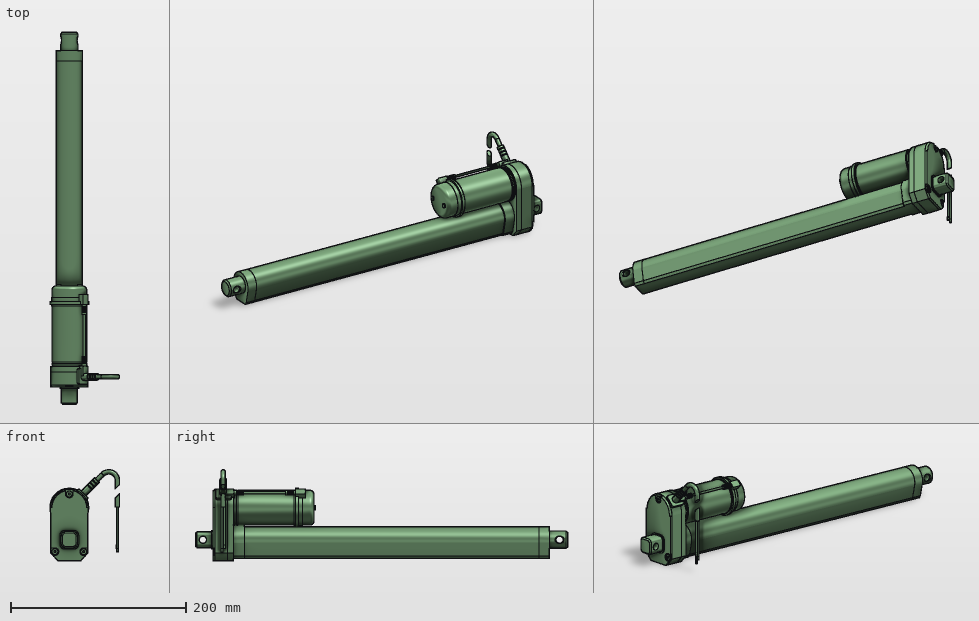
import cadquery as cq
import math


rear_tip = -19.6
overall_length = 425.0
front_tip = rear_tip + overall_length
cover_depth = 2.6
gearbox_split = 17.0
gearbox_front = 23.5
sleeve_front = 36.0
collar_rear = 372.7
collar_front = 384.4

tube_radius = 15.0
sleeve_growth = 1.7
collar_growth = 0.1
tube_taper = 13.0
flank_bottom = -18.7
tube_bottom = -21.7
foot_chamfer = 2.0
rod_diameter = 20.0
rod_chamfer = 1.8
rod_hole_diameter = 8.0
rod_hole_inset = 9.4
rod_countersink_depth = 1.2

motor_axis_z = 36.6
gearbox_half_width = 21.3
gearbox_bottom = -24.1
corner_cut_x = 8.2
corner_cut_z = 9.0
seam_step = 0.06
crown_chamfer = 1.5
screw_pocket_diameter = 8.8
screw_pocket_depth = 2.0
screw_head_diameter = 6.8
screw_head_height = 1.5
screw_socket_diameter = 2.2
top_screw_z = 52.3
lower_screw_x = 16.4
lower_screw_z = -13.6

clevis_across = 18.5
clevis_corner_radius = 4.9
clevis_base_across = 21.6
clevis_base_corner_radius = 5.9
clevis_base_length = 1.3
clevis_chamfer = 1.6
clevis_hole_diameter = 8.0
clevis_hole_inset = 8.2

motor_radius = 20.0
motor_groove_radius = 39.0 / 2
motor_groove_width = 1.5
motor_groove_rears = [gearbox_front, 27.0]
flange_radius = 22.3
flange_rear = 94.2
flange_front = 97.6
ring_radius = 40.7 / 2
band_width = 1.3
ring_front = 102.6
cap_front = 115.7
cap_fillet = 5.0
nub_diameter = 5.0
nub_length = 1.3
nub_spacing = 24.0

outlet_angle = 45.0
pad_width = 15.0
pad_corner = 2.5
conduit_seat_width = 8.0
conduit_seat_corner = 1.0
conduit_seat_top = 26.2
pad_root = 17.0
gearbox_pad_top = 23.0
gearbox_pad_rear = 3.4
gearbox_pad_front = 21.3
gearbox_seat_front = 23.9
motor_seat_rear = 94.2
motor_seat_front = 105.8
conduit_offset = 24.1
conduit_diameter = 2.5
ferrule_diameter = 5.25
ferrule_length = 11.0
ferrule_groove_pitch = 2.0
ferrule_groove_count = 4
cable_y = 11.8
gland_diameter = 8.0
gland_ribs_start = 32.6
gland_top = 44.6
gland_groove_count = 3
gland_groove_diameter = 6.8
groove_width = 1.0
cable_neck_diameter = 5.0
cable_diameter = 5.2
cable_drop_x = 54.95
cable_bend_radius = 9.93
cable_break_z = 60.7
lower_break_z = 50.3
sheath_bottom = 37.2

lead_diameter = 2.0
lead_tip_diameter = 2.2
lead_tip_length = 4.0
lead_spread_x = 0.25
lead_spread_y = 1.5
short_lead_end = -10.0
long_lead_end = -13.8
lead_embed = 2.0


def cylinder_y(diameter, start, end, x=0.0, z=0.0):
    """Cylinder parallel to Y between two stations."""
    return cq.Workplane("XZ", origin=(x, start, z)).circle(diameter / 2).extrude(start - end)


def tube_section(start, end, growth):
    """Round-topped tube with leaning lower flanks and a chamfered foot."""
    radius = tube_radius + growth
    lean = math.radians(tube_taper)
    tangent_x = radius * math.cos(lean)
    tangent_z = -radius * math.sin(lean)
    flank_x = tangent_x - (tangent_z - flank_bottom) * math.tan(lean)
    foot_x = flank_x - foot_chamfer
    return (
        cq.Workplane("XZ", origin=(0, start, 0))
        .moveTo(tangent_x, tangent_z)
        .threePointArc((0, radius), (-tangent_x, tangent_z))
        .lineTo(-flank_x, flank_bottom)
        .lineTo(-foot_x, tube_bottom)
        .lineTo(foot_x, tube_bottom)
        .lineTo(flank_x, flank_bottom)
        .close()
        .extrude(start - end)
    )


def gearbox_slab(start, end, inset):
    """Slice of the gearbox: arched top, straight sides, cut bottom corners."""
    half = gearbox_half_width - inset
    bottom = gearbox_bottom + inset
    return (
        cq.Workplane("XZ", origin=(0, start, 0))
        .moveTo(half, motor_axis_z)
        .threePointArc((0, motor_axis_z + half), (-half, motor_axis_z))
        .lineTo(-half, bottom + corner_cut_z)
        .lineTo(-half + corner_cut_x, bottom)
        .lineTo(half - corner_cut_x, bottom)
        .lineTo(half, bottom + corner_cut_z)
        .close()
        .extrude(start - end)
    )


def crown_relief():
    """Material outside a cone around the cover's arch, above the motor axis only."""
    reach = gearbox_half_width + crown_chamfer
    block = (
        cq.Workplane("XZ", origin=(0, 0, motor_axis_z + reach / 2))
        .rect(2 * reach, reach)
        .extrude(-cover_depth)
    )
    small_radius = gearbox_half_width - crown_chamfer
    cone = cq.Solid.makeCone(
        small_radius, gearbox_half_width, cover_depth, pnt=(0, 0, motor_axis_z), dir=(0, 1, 0)
    )
    return block.cut(cq.Workplane(cone))


def screw_pocket(x, z, outward_x, outward_z):
    """Pocket round a screw, open to the nearest edge of the cover."""
    run = screw_pocket_diameter
    pocket = cylinder_y(screw_pocket_diameter, 0, screw_pocket_depth, x, z)
    mouth = (
        cq.Workplane("XZ", origin=(x + outward_x * run / 2, 0, z + outward_z * run / 2))
        .rect(run, run)
        .extrude(-screw_pocket_depth)
    )
    return pocket.union(mouth)


def screw_head(x, z):
    """Cylinder head with a small central socket."""
    top = screw_pocket_depth - screw_head_height
    head = cylinder_y(screw_head_diameter, top, cover_depth, x, z)
    return head.cut(cylinder_y(screw_socket_diameter, top, screw_pocket_depth, x, z))


def build_gearbox():
    cover = gearbox_slab(0, cover_depth, seam_step).cut(crown_relief())
    middle = gearbox_slab(cover_depth, gearbox_split, 0)
    base = gearbox_slab(gearbox_split, gearbox_front, seam_step)
    box = cover.union(middle).union(base)
    screws = [
        (0, top_screw_z, 0, 1),
        (lower_screw_x, lower_screw_z, 1, 0),
        (-lower_screw_x, lower_screw_z, -1, 0),
    ]
    for x, z, outward_x, outward_z in screws:
        box = box.cut(screw_pocket(x, z, outward_x, outward_z))
        box = box.union(screw_head(x, z))
    return box


def rounded_bar(across, corner_radius, start, end):
    """Square bar along Y with rounded long edges."""
    square = cq.Workplane("XZ", origin=(0, start, 0)).rect(across, across).extrude(start - end)
    return square.edges("|Y").fillet(corner_radius)


def build_clevis():
    block = rounded_bar(clevis_across, clevis_corner_radius, rear_tip, 0).faces("<Y").chamfer(clevis_chamfer)
    base = rounded_bar(clevis_base_across, clevis_base_corner_radius, -clevis_base_length, 0)
    cross_hole = (
        cq.Workplane("YZ")
        .center(rear_tip + clevis_hole_inset, 0)
        .circle(clevis_hole_diameter / 2)
        .extrude(clevis_across, both=True)
    )
    return block.union(base).cut(cross_hole)


def motor_cylinder(radius, start, end):
    """Cylinder on the motor axis."""
    return cylinder_y(2 * radius, start, end, z=motor_axis_z)


def build_motor():
    motor = (
        motor_cylinder(motor_radius, ring_front, cap_front)
        .faces(">Y")
        .edges()
        .fillet(cap_fillet)
        .union(motor_cylinder(motor_radius, gearbox_front, ring_front))
        .union(motor_cylinder(ring_radius, flange_rear - band_width, ring_front))
        .union(motor_cylinder(flange_radius, flange_rear, flange_front))
    )
    for rear in motor_groove_rears:
        front = rear + motor_groove_width
        ring = motor_cylinder(motor_radius, rear, front).cut(motor_cylinder(motor_groove_radius, rear, front))
        motor = motor.cut(ring)
    for side in (-1, 1):
        nub_x = side * nub_spacing / 2
        nub = cylinder_y(nub_diameter, cap_front, cap_front + nub_length, nub_x, motor_axis_z)
        motor = motor.union(nub)
    return motor


def outlet_plane(y, distance):
    """Plane square to the 45 degree ray, a given distance out from the motor axis."""
    ray = math.radians(outlet_angle)
    origin = (distance * math.cos(ray), y, motor_axis_z + distance * math.sin(ray))
    return cq.Plane(origin=origin, xDir=(0, 1, 0), normal=(math.cos(ray), 0, math.sin(ray)))


def outlet_cylinder(diameter, start, end):
    """Cylinder along the cable outlet ray."""
    return cq.Workplane(outlet_plane(cable_y, start)).circle(diameter / 2).extrude(end - start)


def outlet_pad(rear, front, width, top, corner):
    """Flat pad with rounded corners, facing along the 45 degree ray."""
    plane = outlet_plane((rear + front) / 2, pad_root)
    pad = cq.Workplane(plane).rect(front - rear, width).extrude(top - pad_root)
    return pad.edges(cq.selectors.ParallelDirSelector(plane.zDir)).fillet(corner)


def conduit_seat(rear, front):
    """Narrow tall pad that holds one end of the conduit."""
    return outlet_pad(rear, front, conduit_seat_width, conduit_seat_top, conduit_seat_corner)


def ferrule(start, direction, x, z):
    """Grooved sleeve on one end of the conduit."""
    end = start + direction * ferrule_length
    body = cylinder_y(ferrule_diameter, min(start, end), max(start, end), x, z)
    for index in range(ferrule_groove_count):
        low = end - direction * (index + 1) * ferrule_groove_pitch
        ring = cylinder_y(ferrule_diameter, low, low + groove_width, x, z)
        core = cylinder_y(ferrule_diameter - groove_width, low, low + groove_width, x, z)
        body = body.cut(ring.cut(core))
    return body


def build_conduit():
    """Thin conduit beside the motor, with a ferrule at each end."""
    x = conduit_offset * math.cos(math.radians(outlet_angle))
    z = motor_axis_z + conduit_offset * math.sin(math.radians(outlet_angle))
    line = cylinder_y(conduit_diameter, gearbox_front, flange_rear, x, z)
    rear_end = ferrule(gearbox_seat_front, 1, x, z)
    front_end = ferrule(motor_seat_rear, -1, x, z)
    return line.union(rear_end).union(front_end)


def build_gland():
    """Strain relief with grooves round its outer part."""
    gland = outlet_cylinder(gland_diameter, gearbox_pad_top, gland_top)
    pitch = (gland_top - gland_ribs_start) / gland_groove_count
    for index in range(gland_groove_count):
        low = gland_ribs_start + index * pitch
        ring = outlet_cylinder(gland_diameter, low, low + groove_width)
        gland = gland.cut(ring.cut(outlet_cylinder(gland_groove_diameter, low, low + groove_width)))
    return gland


def broken_cable(low, high, cut_z, keep_above):
    """Vertical cable with one end cut off on a 45 degree slope that rises toward +X."""
    base = cq.Workplane("XY", origin=(cable_drop_x, cable_y, low))
    cable = base.circle(cable_diameter / 2).extrude(high - low)
    size = 2 * (high - low) + 2 * cable_diameter
    slope = cq.Plane(origin=(cable_drop_x, cable_y, cut_z), xDir=(0, 1, 0), normal=(-1, 0, 1))
    above = cq.Workplane(slope).rect(size, size).extrude(size)
    return cable.intersect(above) if keep_above else cable.cut(above)


def build_cable_hook():
    """Cable that leaves the gland, bends over and drops to the break."""
    half_diagonal = math.sqrt(0.5)
    bend_centre_x = cable_drop_x - cable_bend_radius
    bend_start_x = bend_centre_x - cable_bend_radius * half_diagonal
    bend_start_z = motor_axis_z + bend_start_x
    bend_centre_z = bend_start_z - cable_bend_radius * half_diagonal
    bend_start = bend_start_x / half_diagonal
    neck = outlet_cylinder(cable_neck_diameter, gland_top, bend_start)
    path = (
        cq.Workplane("XZ", origin=(0, cable_y, 0))
        .moveTo(bend_start_x, bend_start_z)
        .threePointArc(
            (
                bend_centre_x + cable_bend_radius * math.sin(math.radians(outlet_angle / 2)),
                bend_centre_z + cable_bend_radius * math.cos(math.radians(outlet_angle / 2)),
            ),
            (cable_drop_x, bend_centre_z),
        )
    )
    bend = cq.Workplane(outlet_plane(cable_y, bend_start)).circle(cable_diameter / 2).sweep(path)
    drop_low = cable_break_z - cable_diameter
    drop = broken_cable(drop_low, bend_centre_z, cable_break_z, True)
    return neck.union(bend).union(drop)


def build_housing():
    tube = (
        tube_section(gearbox_front, sleeve_front, sleeve_growth)
        .union(tube_section(sleeve_front, collar_rear, 0))
        .union(tube_section(collar_rear, collar_front, collar_growth))
    )
    rod_socket = cylinder_y(rod_diameter, collar_rear, collar_front)
    return (
        build_gearbox()
        .union(build_clevis())
        .union(build_motor())
        .union(tube)
        .union(outlet_pad(gearbox_pad_rear, gearbox_pad_front, pad_width, gearbox_pad_top, pad_corner))
        .union(conduit_seat(cable_y, gearbox_seat_front))
        .union(conduit_seat(motor_seat_rear, motor_seat_front))
        .union(build_conduit())
        .union(build_gland())
        .union(build_cable_hook())
        .cut(rod_socket)
    )


def build_rod():
    """Piston rod seated in the tube's end collar, with a cross hole near its tip."""
    rod = cylinder_y(rod_diameter, collar_rear, front_tip).faces(">Y").chamfer(rod_chamfer)
    hole_y = front_tip - rod_hole_inset
    hole_radius = rod_hole_diameter / 2
    cross_hole = cq.Workplane("YZ").center(hole_y, 0).circle(hole_radius).extrude(rod_diameter, both=True)
    rod = rod.cut(cross_hole)
    for side in (-1, 1):
        countersink = cq.Solid.makeCone(
            hole_radius + rod_countersink_depth,
            hole_radius,
            rod_countersink_depth,
            pnt=(side * rod_diameter / 2, hole_y, 0),
            dir=(-side, 0, 0),
        )
        rod = rod.cut(cq.Workplane(countersink))
    return rod


def lead(side, end):
    """One insulated lead with a crimped tip."""
    origin_x = cable_drop_x + side * lead_spread_x
    origin_y = cable_y - side * lead_spread_y
    insulation_end = end + lead_tip_length
    top = sheath_bottom + lead_embed
    insulation = (
        cq.Workplane("XY", origin=(origin_x, origin_y, insulation_end))
        .circle(lead_diameter / 2)
        .extrude(top - insulation_end)
    )
    tip_base = cq.Workplane("XY", origin=(origin_x, origin_y, end))
    tip = tip_base.circle(lead_tip_diameter / 2).extrude(lead_tip_length)
    return insulation.union(tip)


def build_cable_end():
    """Separate end of the cable below the break, with two leads."""
    sheath = broken_cable(sheath_bottom, lower_break_z + cable_diameter, lower_break_z, False)
    return sheath.union(lead(-1, short_lead_end)).union(lead(1, long_lead_end))


housing = build_housing()
rod = build_rod()
cable_end = build_cable_end()

result = cq.Compound.makeCompound([housing.val(), rod.val(), cable_end.val()])